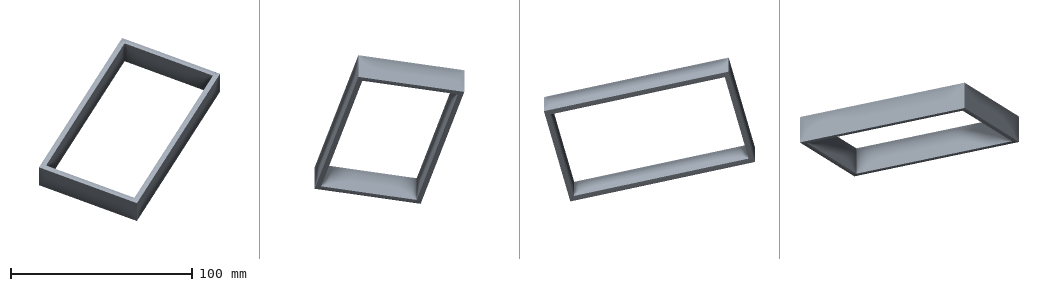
import cadquery as cq

frame_width = 60.0
frame_length = 105.0
frame_height = 15.0
wall_thickness = 2.95

opening_width = frame_width - 2 * wall_thickness
opening_length = frame_length - 2 * wall_thickness

result = (
    cq.Workplane("XY")
    .rect(frame_width, frame_length)
    .rect(opening_width, opening_length)
    .extrude(frame_height)
)